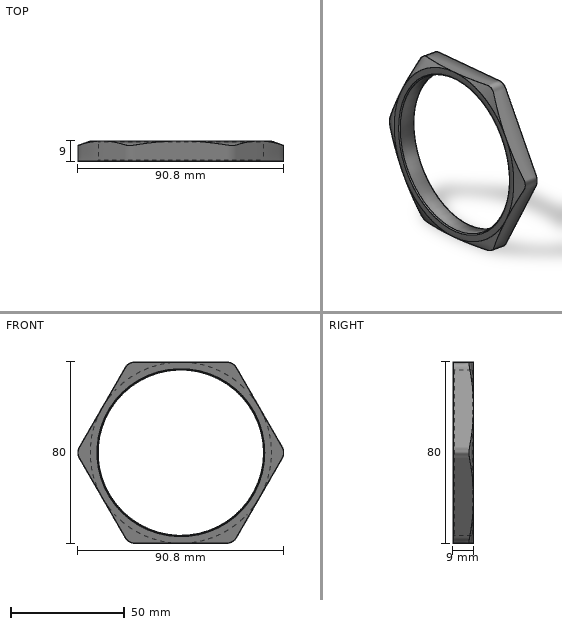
import cadquery as cq
import math

across_flats = 80.0
thickness = 9.0
corner_radius = 5.0
bore_diameter = 73.0
bore_chamfer = 0.5
crown_angle = 20.0
crown_face_diameter = across_flats

across_corners = across_flats / math.cos(math.radians(30))


def hexagon_blank():
    """Rounded hexagon extruded from Y = 0 to Y = thickness."""
    return (
        cq.Workplane("XZ")
        .polygon(6, across_corners)
        .extrude(-thickness)
        .edges("|Y")
        .fillet(corner_radius)
    )


def crown_envelope():
    """Turned shape whose cone trims the hexagon corners at the +Y face."""
    face_radius = crown_face_diameter / 2
    outer_radius = across_corners / 2
    crown_drop = (outer_radius - face_radius) * math.tan(math.radians(crown_angle))
    return (
        cq.Workplane("XY")
        .polyline([
            (0, 0),
            (outer_radius, 0),
            (outer_radius, thickness - crown_drop),
            (face_radius, thickness),
            (0, thickness),
        ])
        .close()
        .revolve(360, (0, 0, 0), (0, 1, 0))
    )


def bore_cutter():
    """Through bore that flares into a 45 degree chamfer at both faces."""
    bore_radius = bore_diameter / 2
    mouth_radius = bore_radius + bore_chamfer
    return (
        cq.Workplane("XY")
        .polyline([
            (0, 0),
            (mouth_radius, 0),
            (bore_radius, bore_chamfer),
            (bore_radius, thickness - bore_chamfer),
            (mouth_radius, thickness),
            (0, thickness),
        ])
        .close()
        .revolve(360, (0, 0, 0), (0, 1, 0))
    )


result = hexagon_blank().intersect(crown_envelope()).cut(bore_cutter())